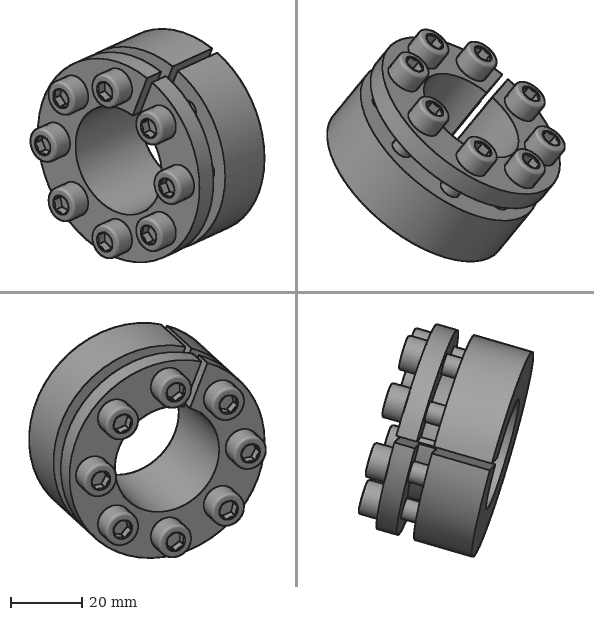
import cadquery as cq
import math

outer_diameter = 60.0
bore_diameter = 32.0
rear_ring_width = 17.0
gap_width = 5.0
flange_width = 6.0
collar_length = rear_ring_width + gap_width + flange_width
neck_rear_radius = 18.7
neck_front_radius = 19.2

slit_width = 2.0
screw_count = 8
screw_pitch_angle = 360.0 / screw_count
screw_angles = [index * screw_pitch_angle for index in range(screw_count)]
slit_angle = screw_pitch_angle / 2

bolt_circle_radius = 23.0
shank_diameter = 6.0
shank_length = 20.0
head_diameter = 10.0
head_height = 6.0
head_fillet = 0.8
socket_sides = 6
socket_across_flats = 5.0
socket_depth = 3.0
socket_corner_diameter = socket_across_flats / math.cos(math.pi / socket_sides)
socket_chamfer = (socket_corner_diameter - socket_across_flats) / 2

gap_rear_y = -rear_ring_width
gap_front_y = gap_rear_y - gap_width
flange_front_y = -collar_length
head_front_y = flange_front_y - head_height


def plane_at(y):
    """Plane across the top screw axis, with normal +Y and local X along +X."""
    return cq.Plane(origin=(0, y, bolt_circle_radius), xDir=(1, 0, 0), normal=(0, 1, 0))


def turn_about_axis(body, angle):
    """Turn a body about the collar axis, from +Z towards +X."""
    return body.rotate((0, 0, 0), (0, 1, 0), angle)


def make_shank():
    """Shank of the top screw, also the shape of its hole in the collar."""
    return cq.Workplane(plane_at(flange_front_y)).circle(shank_diameter / 2).extrude(shank_length)


def make_collar():
    """Revolved rings and neck, cut by the slit and the screw holes."""
    outer_radius = outer_diameter / 2
    bore_radius = bore_diameter / 2
    half_section = [
        (bore_radius, 0),
        (outer_radius, 0),
        (outer_radius, gap_rear_y),
        (neck_rear_radius, gap_rear_y),
        (neck_front_radius, gap_front_y),
        (outer_radius, gap_front_y),
        (outer_radius, flange_front_y),
        (bore_radius, flange_front_y),
    ]
    collar = cq.Workplane("XY").polyline(half_section).close().revolve(360, (0, 0), (0, 1))

    slit = (
        cq.Workplane("XY")
        .box(slit_width, collar_length, outer_diameter, centered=(True, True, False))
        .translate((0, -collar_length / 2, 0))
    )
    collar = collar.cut(turn_about_axis(slit, slit_angle))

    for angle in screw_angles:
        collar = collar.cut(turn_about_axis(make_shank(), angle))
    return collar


def make_screw(angle):
    """Socket head screw with its head seated on the front of the flange."""
    head = (
        cq.Workplane(plane_at(head_front_y))
        .circle(head_diameter / 2)
        .extrude(head_height)
        .faces("<Y")
        .edges()
        .fillet(head_fillet)
    )
    socket = (
        cq.Workplane(plane_at(head_front_y))
        .transformed(rotate=(0, 0, 90))
        .polygon(socket_sides, socket_corner_diameter)
        .extrude(socket_depth)
    )
    socket_mouth = cq.Workplane(
        cq.Solid.makeCone(
            socket_corner_diameter / 2,
            socket_across_flats / 2,
            socket_chamfer,
            cq.Vector(0, head_front_y, bolt_circle_radius),
            cq.Vector(0, 1, 0),
        )
    )
    screw = head.union(make_shank()).cut(socket).cut(socket_mouth)
    return turn_about_axis(screw, angle)


collar = make_collar()
screws = [make_screw(angle) for angle in screw_angles]

result = cq.Compound.makeCompound([collar.val(), *[screw.val() for screw in screws]])